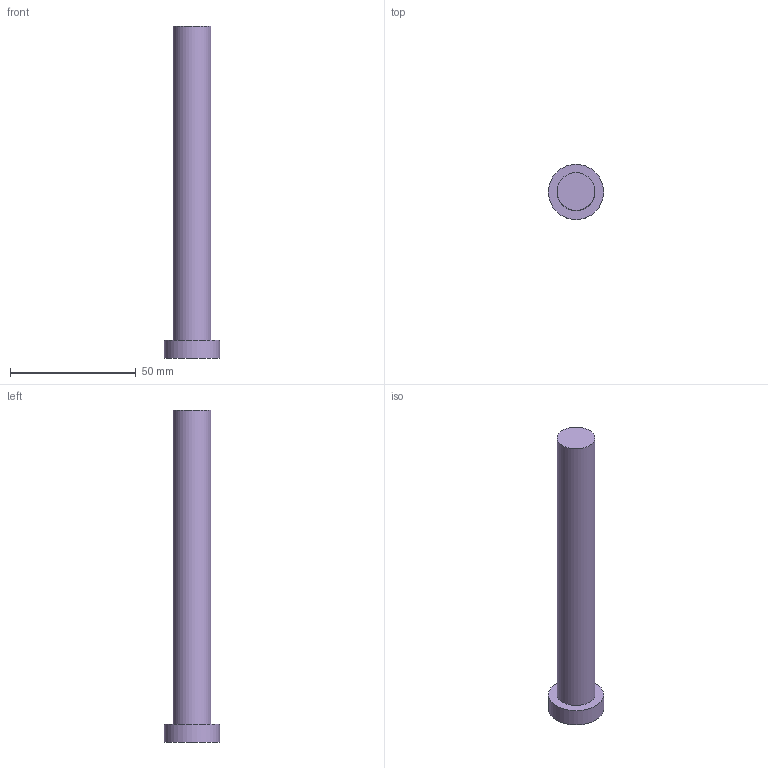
import cadquery as cq

head_diameter = 22.0
head_height = 7.0
shaft_diameter = 15.0
shaft_length = 125.0


def cylinder(diameter, base_z, height):
    """Upright cylinder on the Z axis, starting at base_z."""
    return cq.Workplane("XY").workplane(offset=base_z).circle(diameter / 2).extrude(height)


head = cylinder(head_diameter, 0, head_height)
shaft = cylinder(shaft_diameter, head_height, shaft_length)

result = head.union(shaft)